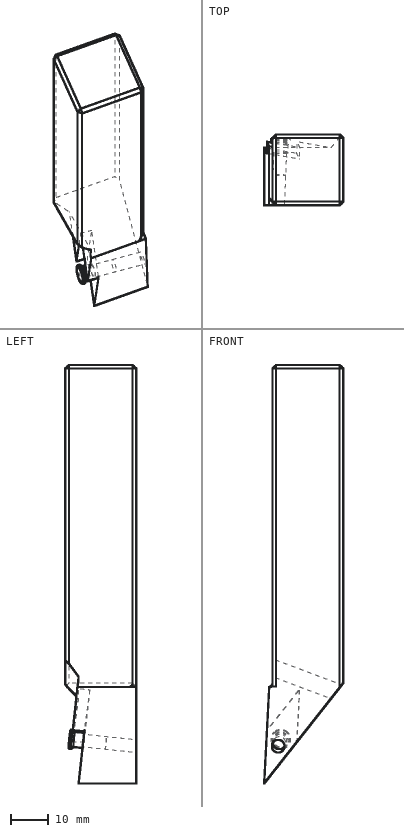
import cadquery as cq
import math

shank_size = 19.05
total_length = 112.35
shank_chamfer = 1.0

overall_width = 21.31
tip_x = shank_size - overall_width
left_edge_lean = math.radians(3)
ledge_z = 25.95
ledge_slope = math.radians(6)
shoulder_z = 27.06
diagonal_slope = shoulder_z / overall_width
ledge_x = tip_x + ledge_z * math.tan(left_edge_lean)
ledge_fillet = -ledge_x / (1 - math.sin(ledge_slope))
fillet_top_z = ledge_z + ledge_fillet * math.cos(ledge_slope)

diagonal_lean = math.atan(1 / diagonal_slope)
half_point_angle = (diagonal_lean - left_edge_lean) / 2
bisector_lean = (diagonal_lean + left_edge_lean) / 2
seat_tilt = math.radians(6.5)
seat_tip_y = 15.5
pocket_depth = 3.1
pocket_side = 14.2
relief_wall_distance = 27.5
relief_wall_angle = math.radians(45)

screw_distance = 12.45
thread_diameter = 3.4
thread_length = 6.0
neck_diameter = 4.1
neck_length = 2.6
head_diameter = 5.3
head_cone_height = 0.6
head_rim_height = 0.35
head_bevel = 0.3

clearance = 60.0

seat_plane = cq.Plane(
    origin=(tip_x, seat_tip_y, 0),
    xDir=(
        math.sin(bisector_lean) * math.cos(seat_tilt),
        -math.sin(seat_tilt),
        math.cos(bisector_lean) * math.cos(seat_tilt),
    ),
    normal=(
        math.sin(bisector_lean) * math.sin(seat_tilt),
        math.cos(seat_tilt),
        math.cos(bisector_lean) * math.sin(seat_tilt),
    ),
)


def extrude_across(sketch):
    """Extrude an XZ outline through the shank, from y = 0 to shank_size."""
    return sketch.extrude(-shank_size)


def ledge_height(x):
    """Height of the sloping ledge at a given x."""
    return ledge_z + (x - ledge_x) * math.tan(ledge_slope)


def make_shank():
    block = cq.Workplane("XY").box(shank_size, shank_size, total_length, centered=False)
    block = block.edges("|Z or >Z").chamfer(shank_chamfer)
    below_diagonal = extrude_across(
        cq.Workplane("XZ")
        .moveTo(tip_x, 0)
        .lineTo(shank_size, shoulder_z)
        .lineTo(shank_size, 0)
        .close()
    )
    return block.cut(below_diagonal)


def make_head():
    inner_x = shank_size - shank_chamfer
    return extrude_across(
        cq.Workplane("XZ")
        .moveTo(tip_x, 0)
        .lineTo(ledge_x, ledge_z)
        .lineTo(shank_chamfer, ledge_height(shank_chamfer))
        .lineTo(inner_x, (inner_x - tip_x) * diagonal_slope)
        .close()
    )


def make_ledge_fillet():
    """Concave fillet between ledge and shank, ended by the plane of the front edge chamfer."""
    fillet = extrude_across(
        cq.Workplane("XZ")
        .moveTo(ledge_x, ledge_z)
        .radiusArc((0, fillet_top_z), -ledge_fillet)
        .lineTo(0, ledge_height(0))
        .close()
    )
    beyond_chamfer = (
        cq.Workplane("XY")
        .workplane(offset=ledge_z)
        .moveTo(0, 0)
        .lineTo(0, shank_chamfer)
        .lineTo(ledge_x, shank_chamfer - ledge_x)
        .lineTo(ledge_x, 0)
        .close()
        .extrude(fillet_top_z - ledge_z)
    )
    return fillet.cut(beyond_chamfer)


def make_relief():
    """Space above the tilted upper face of the head, closed by a sloping wall at the shank."""
    wall_run = clearance / math.tan(relief_wall_angle)
    middle = seat_plane.toWorldCoords((0, 0, pocket_depth))
    side = cq.Plane(origin=middle.toTuple(), xDir=seat_plane.xDir.toTuple(),
                    normal=(-seat_plane.yDir).toTuple())
    return (
        cq.Workplane(side)
        .moveTo(-clearance, 0)
        .lineTo(relief_wall_distance, 0)
        .lineTo(relief_wall_distance + wall_run, clearance)
        .lineTo(-clearance, clearance)
        .close()
        .extrude(clearance, both=True)
    )


def make_insert_pocket():
    """Insert recess: two walls, parallel to the edges of the point, meet at the far corner."""
    far_corner = 2 * pocket_side * math.cos(half_point_angle)
    half_width = (far_corner + clearance) * math.tan(half_point_angle)
    return (
        cq.Workplane(seat_plane)
        .moveTo(far_corner, 0)
        .lineTo(-clearance, half_width)
        .lineTo(-clearance, -half_width)
        .close()
        .extrude(pocket_depth)
    )


def make_holder():
    holder = make_shank().union(make_head()).union(make_ledge_fillet())
    holder = holder.cut(make_relief()).cut(make_insert_pocket())
    screw_hole = (
        cq.Workplane(seat_plane)
        .center(screw_distance, 0)
        .circle(thread_diameter / 2)
        .extrude(-clearance)
    )
    return holder.cut(screw_hole)


def make_screw():
    """Thread in the holder, neck standing on the seat, and a flared head with a beveled rim."""
    thread_radius = thread_diameter / 2
    neck_radius = neck_diameter / 2
    head_radius = head_diameter / 2
    rim_start = neck_length + head_cone_height
    rim_end = rim_start + head_rim_height
    head_end = rim_end + head_bevel
    axis_point = seat_plane.toWorldCoords((screw_distance, 0, 0))
    section = cq.Plane(origin=axis_point.toTuple(), xDir=seat_plane.xDir.toTuple(),
                       normal=(-seat_plane.yDir).toTuple())
    return (
        cq.Workplane(section)
        .moveTo(0, -thread_length)
        .lineTo(thread_radius, -thread_length)
        .lineTo(thread_radius, 0)
        .lineTo(neck_radius, 0)
        .lineTo(neck_radius, neck_length)
        .lineTo(head_radius, rim_start)
        .lineTo(head_radius, rim_end)
        .lineTo(head_radius - head_bevel, head_end)
        .lineTo(0, head_end)
        .close()
        .revolve(360, (0, 0, 0), (0, 1, 0))
    )


holder = make_holder()
screw = make_screw()

result = cq.Compound.makeCompound([holder.solids().val(), screw.val()])